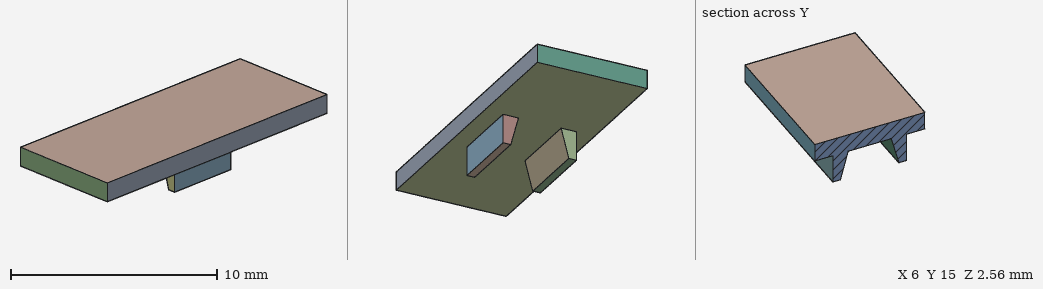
import cadquery as cq

plate_width = 6.0
plate_length = 15.0
total_height = 2.56

plate_thickness = 1.0
leg_height = total_height - plate_thickness
leg_length = 3.84
leg_span = 4.0
leg_root_width = 0.84
leg_tip_width = 0.42


def make_plate():
    """Flat plate with its underside at Z = 0."""
    return cq.Workplane("XY").box(
        plate_width, plate_length, plate_thickness, centered=(True, True, False)
    )


def make_leg(side):
    """Leg below the plate, straight outside and tapered inside; side is -1 or 1 along X."""
    outer = leg_span / 2
    profile = [
        (side * outer, 0),
        (side * outer, -leg_height),
        (side * (outer - leg_tip_width), -leg_height),
        (side * (outer - leg_root_width), 0),
    ]
    return cq.Workplane("XZ").polyline(profile).close().extrude(leg_length / 2, both=True)


result = make_plate()
for side in (-1, 1):
    result = result.union(make_leg(side))